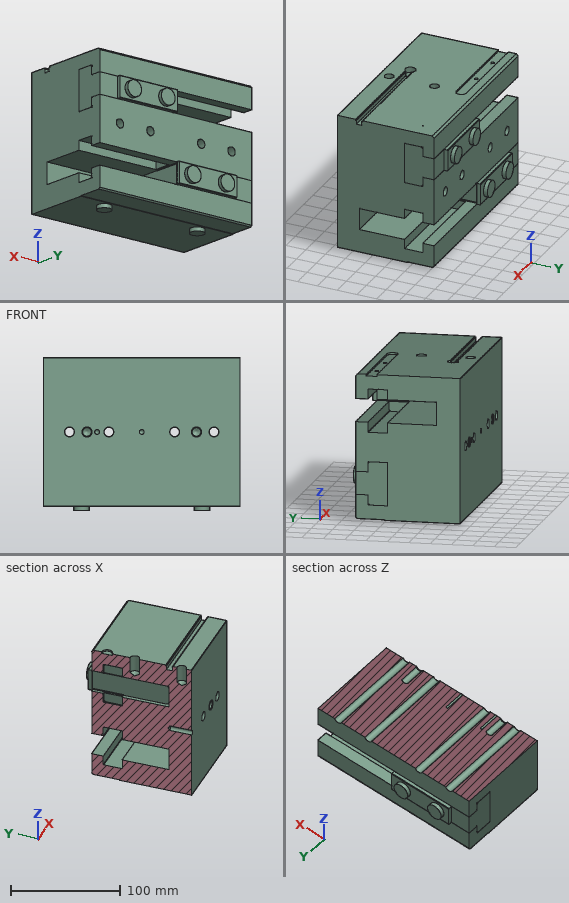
import cadquery as cq
import math


LENGTH = 180.0
DEPTH = 98.0
HEIGHT = 136.0
BACK_CHAMFER = 2.0
FRONT_CHAMFER = 0.4
BOTTOM_STEP_LENGTH = 27.0
BOTTOM_STEP_HEIGHT = 0.5
MID_X = LENGTH / 2
MID_Z = HEIGHT / 2
LAP = 1.8

SLIDE_OFFSET = 34.0
STEM_WIDTH = 21.6
HEAD_WIDTH = 40.5
HEAD_START = 11.5
HEAD_END = 29.9
SLOT_CHAMFER = 0.4
HEAD_CHAMFER = 1.6
SLIDE_GAP = 2.0
SLIDE_INNER_X = MID_X + SLIDE_GAP / 2
PAD_LENGTH = 68.0
PAD_HEIGHT = 4.0
PAD_CHAMFER = 0.5

TONGUE_WIDTH = 19.6
TONGUE_REACH = 74.7
TONGUE_CORNER_RADIUS = 2.3
TONGUE_LENGTH = 32.4
TONGUE_RELIEF = 1.8
TONGUE_SETBACK = 0.9
DEEP_SLOT_REACH = 75.6

BUSHING_DIAMETER = 16.2
BUSHING_HEIGHT = 4.0
BUSHING_SPACING = 39.8
BUSHING_INSET = 14.4
PIN_DIAMETER = 14.4
PIN_HEIGHT = 4.0
PIN_SPACING = 110.2
PIN_FROM_BACK = 36.0

THROUGH_DIAMETER = 8.6
THROUGH_X = (-66.0, -30.0, 30.0, 66.0)
THREAD_DIAMETER = 9.2
THREAD_CORE_DIAMETER = 8.0
THREAD_MOUTH = 0.7
THREAD_SPACING = 100.0
AIR_DIAMETER = 4.3
AIR_X = (-40.9, 0.0)
FRONT_HOLE_DEPTH = 21.6

TOP_HOLE_DIAMETER = 8.8
TOP_HOLE_FROM_BACK = (42.1, 88.0)
TOP_HOLE_DEPTH = 16.2
SHALLOW_WIDTH = 10.0
SHALLOW_DEPTH = 1.6
SHALLOW_FROM_BACK = 15.0
VENT_DIAMETER = 3.2
VENT_X = (23.0, 58.0)
VENT_DEPTH = 7.2
SENSOR_FROM_BACK = 76.0
SENSOR_ENTRY_X = 70.0
SENSOR_ENTRY_DIAMETER = 10.3
SENSOR_ENTRY_DEPTH = 5.4
SENSOR_OVERLAP = 0.5
SENSOR_WIDTH = 5.4
SENSOR_DEPTH = 4.9
SENSOR_RIM_WIDTH = 6.8
SENSOR_RIM_DEPTH = 1.0
TIP_ANGLE = 118.0


def box(x0, x1, y0, y1, z0, z1):
    return cq.Workplane("XY").box(x1 - x0, y1 - y0, z1 - z0, centered=False).translate((x0, y0, z0))


def drill(diameter, depth, start, direction):
    """A drilled hole with a conical tip; start lies on the surface."""
    radius = diameter / 2
    tip = radius / math.tan(math.radians(TIP_ANGLE / 2))
    bit = (
        cq.Workplane("XZ")
        .polyline([(0, 0), (radius, 0), (radius, depth), (0, depth + tip)])
        .close()
        .revolve(360, (0, 0, 0), (0, 1, 0))
    )
    turned = cq.Plane(origin=start, xDir=(1, 0, 0), normal=direction)
    return cq.Workplane(bit.val().moved(cq.Location(turned)))


def opposed(upper):
    """The lower copy of an upper feature: half a turn about the Y axis through the middle."""
    return upper.rotate((MID_X, 0, MID_Z), (MID_X, 1, MID_Z), 180)


def t_bar(x0, x1, corner_chamfer):
    """T section at the height of the upper slide: a stem to the back face and a wider head inside."""
    z = MID_Z + SLIDE_OFFSET
    stem = box(x0, x1, DEPTH - HEAD_END, DEPTH, z - STEM_WIDTH / 2, z + STEM_WIDTH / 2)
    head = box(
        x0, x1, DEPTH - HEAD_END, DEPTH - HEAD_START, z - HEAD_WIDTH / 2, z + HEAD_WIDTH / 2
    )
    head = head.faces(">Y").edges("|X").chamfer(corner_chamfer)
    return stem.union(head)


def deep_slot():
    """Slot for the upper tongue, open at the left end and at the back, with a round right end."""
    z = MID_Z + SLIDE_OFFSET
    y = DEPTH - DEEP_SLOT_REACH
    end_x = SLIDE_INNER_X + TONGUE_LENGTH
    straight = box(-LAP, end_x, y, DEPTH - HEAD_START, z - STEM_WIDTH / 2, z + STEM_WIDTH / 2)
    round_end = cq.Workplane("XZ", origin=(end_x, y, z)).circle(STEM_WIDTH / 2)
    return straight.union(round_end.extrude(HEAD_START - DEEP_SLOT_REACH))


def make_slide():
    """Upper slide, from its inner end to the right end of the housing."""
    z = MID_Z + SLIDE_OFFSET
    inner = SLIDE_INNER_X
    bar = t_bar(inner, LENGTH, HEAD_CHAMFER)
    relief = box(inner, inner + TONGUE_RELIEF, 0, DEPTH, z - STEM_WIDTH / 2, z + STEM_WIDTH / 2)
    tongue = box(
        inner + TONGUE_SETBACK, inner + TONGUE_LENGTH,
        DEPTH - TONGUE_REACH, DEPTH,
        z - TONGUE_WIDTH / 2, z + TONGUE_WIDTH / 2,
    )
    tongue = tongue.faces("<Y").edges("|X").fillet(TONGUE_CORNER_RADIUS)
    pad = box(
        inner, inner + PAD_LENGTH, DEPTH, DEPTH + PAD_HEIGHT, z - STEM_WIDTH / 2, z + STEM_WIDTH / 2
    )
    pad = pad.faces(">Y").edges("|X").chamfer(PAD_CHAMFER)
    return bar.cut(relief).union(tongue).union(pad)


def make_bushing(x):
    """Bushing on the pad of the upper slide."""
    seat = cq.Workplane("XZ", origin=(x, DEPTH + PAD_HEIGHT, MID_Z + SLIDE_OFFSET))
    return seat.circle(BUSHING_DIAMETER / 2).extrude(-BUSHING_HEIGHT)


def make_pin(x):
    seat = cq.Workplane("XY", origin=(x, DEPTH - PIN_FROM_BACK, 0))
    return seat.circle(PIN_DIAMETER / 2).extrude(-PIN_HEIGHT)


def block():
    """Housing block with chamfered long edges and a shallow step cut along the back of its bottom."""
    blank = box(0, LENGTH, 0, DEPTH, 0, HEIGHT)
    blank = blank.faces(">Y").edges("|X").chamfer(BACK_CHAMFER)
    blank = blank.faces("<Y").edges("|X").chamfer(FRONT_CHAMFER)
    step = box(-LAP, LENGTH + LAP, DEPTH - BOTTOM_STEP_LENGTH, DEPTH + LAP, -LAP, BOTTOM_STEP_HEIGHT)
    return blank.cut(step)


def cut_front_holes(body):
    for dx in THROUGH_X:
        hole = cq.Workplane("XZ", origin=(MID_X + dx, 0, MID_Z)).circle(THROUGH_DIAMETER / 2)
        body = body.cut(hole.extrude(-DEPTH))
    for side in (-1, 1):
        start = (MID_X + side * THREAD_SPACING / 2, 0, MID_Z)
        body = body.cut(drill(THREAD_CORE_DIAMETER, FRONT_HOLE_DEPTH, start, (0, 1, 0)))
        mouth = cq.Workplane("XZ", origin=start).circle(THREAD_DIAMETER / 2).extrude(-THREAD_MOUTH)
        body = body.cut(mouth)
    for dx in AIR_X:
        body = body.cut(drill(AIR_DIAMETER, FRONT_HOLE_DEPTH, (MID_X + dx, 0, MID_Z), (0, 1, 0)))
    return body


def cut_top_holes(body):
    for back in TOP_HOLE_FROM_BACK:
        start = (MID_X, DEPTH - back, HEIGHT)
        body = body.cut(drill(TOP_HOLE_DIAMETER, TOP_HOLE_DEPTH, start, (0, 0, -1)))
    return body


def cut_shallow_groove(body):
    """Shallow groove from the left end to a round end at the middle, with two vents in its floor."""
    y = DEPTH - SHALLOW_FROM_BACK
    floor = HEIGHT - SHALLOW_DEPTH
    groove = box(-LAP, MID_X, y - SHALLOW_WIDTH / 2, y + SHALLOW_WIDTH / 2, floor, HEIGHT)
    round_end = cq.Workplane("XY", origin=(MID_X, y, floor)).circle(SHALLOW_WIDTH / 2)
    body = body.cut(groove).cut(round_end.extrude(SHALLOW_DEPTH))
    for x in VENT_X:
        body = body.cut(drill(VENT_DIAMETER, VENT_DEPTH, (x, y, floor), (0, 0, -1)))
    return body


def cut_sensor_groove(body):
    """Stepped groove from a round entry to the right end."""
    y = DEPTH - SENSOR_FROM_BACK
    entry = cq.Workplane("XY", origin=(SENSOR_ENTRY_X, y, HEIGHT)).circle(SENSOR_ENTRY_DIAMETER / 2)
    body = body.cut(entry.extrude(-SENSOR_ENTRY_DEPTH))
    start_x = SENSOR_ENTRY_X + SENSOR_ENTRY_DIAMETER / 2 - SENSOR_OVERLAP
    for width, depth in ((SENSOR_WIDTH, SENSOR_DEPTH), (SENSOR_RIM_WIDTH, SENSOR_RIM_DEPTH)):
        body = body.cut(
            box(start_x, LENGTH + LAP, y - width / 2, y + width / 2, HEIGHT - depth, HEIGHT)
        )
    return body


def make_housing():
    upper_slot = t_bar(-LAP, LENGTH + LAP, SLOT_CHAMFER).union(deep_slot())
    body = block().cut(upper_slot).cut(opposed(upper_slot))
    body = cut_front_holes(body)
    body = cut_top_holes(body)
    body = cut_shallow_groove(body)
    return cut_sensor_groove(body)


housing = make_housing()

slide = make_slide()
slides = [slide, opposed(slide)]

bushings = []
for position in range(2):
    bushing = make_bushing(SLIDE_INNER_X + BUSHING_INSET + position * BUSHING_SPACING)
    bushings += [bushing, opposed(bushing)]

pins = [make_pin(MID_X + side * PIN_SPACING / 2) for side in (-1, 1)]

bodies = [housing, *slides, *bushings, *pins]
result = cq.Compound.makeCompound([body.solids().val() for body in bodies])